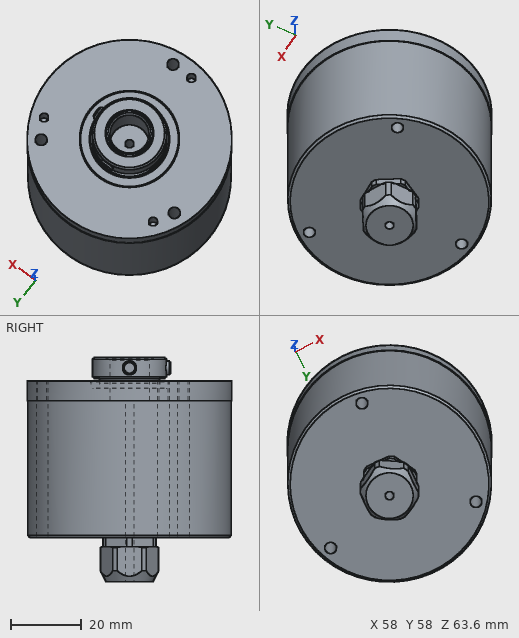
import cadquery as cq
import math

height = 63.6

flange_radius = 29.0
flange_top = 56.9
flange_bottom = 51.3
housing_radius = 28.8
housing_bottom = 12.45
housing_chamfer = 0.7

collar_radius = 10.5
collar_height = 6.05
collar_chamfer = 0.6
collar_mid = height - collar_height / 2
neck_radius = 8.5

screw_radius = 2.0
screw_reach = 11.65
screw_chamfer = 0.45

mouth_radius = 6.6
mouth_chamfer = 0.25
bore_radius = 5.55
bore_chamfer = 0.6
bore_bottom = flange_bottom
wire_hole_radius = 1.2

recess_radius = 11.1
recess_depth = 2.1
recess_draft = 0.6
neck_cone_depth = 0.75
recess_rim_chamfer = 0.25
recess_floor_chamfer = 0.2

bearing_groove_radius = 14.0
bearing_groove_width = 0.3
bearing_groove_depth = 0.2

hole_circle_radius = 25.0
hole_count = 3
through_hole_radius = 1.65
through_hole_angle = 37.5
blind_hole_radius = 1.3
blind_hole_angle = 22.5
blind_hole_depth = flange_top - flange_bottom

gland_flats = 15.0
gland_corner_radius = 8.25
gland_split = 10.0
nut_top_chamfer = 0.25
nut_top_inset = 0.5
nut_tip_radius = 6.7
nut_taper_height = 3.1


def cylinder(radius, bottom, top):
    return cq.Workplane("XY").workplane(offset=bottom).circle(radius).extrude(top - bottom)


def revolve_profile(points):
    """Revolve a closed outline of (radius, z) points about the Z axis."""
    return cq.Workplane("XZ").polyline(points).close().revolve(360, (0, 0), (0, 1))


def hexagon(bottom, top, turn):
    corner_diameter = gland_flats / math.cos(math.radians(30))
    base = cq.Workplane("XY").workplane(offset=bottom)
    prism = base.polygon(6, corner_diameter).extrude(top - bottom)
    return prism.rotate((0, 0, 0), (0, 0, 1), turn)


def make_housing():
    housing = cylinder(housing_radius, housing_bottom, flange_bottom).faces("<Z").chamfer(housing_chamfer)
    return housing.union(cylinder(flange_radius, flange_bottom, flange_top))


def make_recess():
    rim_outer = recess_radius + recess_rim_chamfer
    floor = flange_top - recess_depth
    chamfer_top = floor + recess_floor_chamfer
    wall_foot = recess_radius - recess_draft
    neck_foot = neck_radius + recess_draft
    return revolve_profile([
        (neck_radius, flange_top),
        (neck_radius, flange_top - neck_cone_depth),
        (neck_foot, chamfer_top),
        (neck_foot + recess_floor_chamfer, floor),
        (wall_foot - recess_floor_chamfer, floor),
        (wall_foot, chamfer_top),
        (recess_radius, flange_top - recess_rim_chamfer),
        (rim_outer, flange_top),
    ])


def make_bearing_groove():
    half_width = bearing_groove_width / 2
    return revolve_profile([
        (bearing_groove_radius - half_width, flange_top),
        (bearing_groove_radius, flange_top - bearing_groove_depth),
        (bearing_groove_radius + half_width, flange_top),
    ])


def make_collar():
    neck = cylinder(neck_radius, flange_top, collar_mid)
    collar = cylinder(collar_radius, height - collar_height, height).edges().chamfer(collar_chamfer)
    return neck.union(collar)


def make_set_screw(turn):
    """Radial screw from the middle of the collar wall, turned about Z from +X."""
    start = (bore_radius + collar_radius) / 2
    screw = (
        cq.Workplane("YZ", origin=(start, 0, collar_mid))
        .circle(screw_radius)
        .extrude(screw_reach - start)
        .faces(">X")
        .chamfer(screw_chamfer)
    )
    return screw.rotate((0, 0, 0), (0, 0, 1), turn)


def make_bore():
    shaft_end = height - mouth_chamfer
    return revolve_profile([
        (0, 0),
        (wire_hole_radius, 0),
        (wire_hole_radius, bore_bottom),
        (bore_radius, bore_bottom),
        (bore_radius, shaft_end - bore_chamfer),
        (bore_radius + bore_chamfer, shaft_end),
        (mouth_radius, shaft_end),
        (mouth_radius + mouth_chamfer, height),
        (0, height),
    ])


def make_gland():
    body_round = cylinder(gland_corner_radius, gland_split, housing_bottom)
    body = hexagon(gland_split, housing_bottom, 0).intersect(body_round)
    nut_round = revolve_profile([
        (0, 0),
        (nut_tip_radius, 0),
        (gland_corner_radius, nut_taper_height),
        (gland_corner_radius, gland_split - nut_top_chamfer),
        (gland_corner_radius - nut_top_inset, gland_split),
        (0, gland_split),
    ])
    nut = hexagon(0, gland_split, 30).intersect(nut_round)
    return body.union(nut)


def make_flange_holes(radius, first_angle, bottom):
    return (
        cq.Workplane("XY")
        .workplane(offset=bottom)
        .polarArray(hole_circle_radius, first_angle, 360, hole_count)
        .circle(radius)
        .extrude(flange_top - bottom)
    )


result = make_housing().cut(make_recess())
result = result.union(make_collar()).union(make_gland())
for screw_turn in (0, 90):
    result = result.union(make_set_screw(screw_turn))

result = result.cut(make_bore())
result = result.cut(make_bearing_groove())
result = result.cut(make_flange_holes(through_hole_radius, through_hole_angle, housing_bottom))
result = result.cut(make_flange_holes(blind_hole_radius, blind_hole_angle, flange_top - blind_hole_depth))